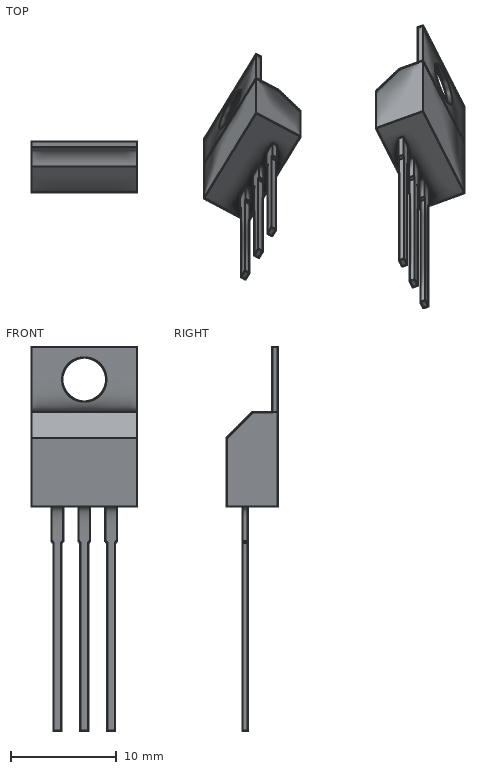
import cadquery as cq

total_height = 36.27
body_width = 9.97
body_depth = 4.82

housing_bottom = 21.18
housing_top = 30.1
chamfer_size = 2.43

tab_thickness = 0.55
hole_diameter = 4.15
hole_center_drop = 3.1

lead_count = 3
lead_pitch = 2.55
lead_thickness = 0.5
lead_back_offset = 2.83
shoulder_width = 1.12
tip_width = 0.75
shoulder_length = 3.23
taper_length = 0.2


def make_housing():
    """Rectangular block with its upper front edge bevelled."""
    height = housing_top - housing_bottom
    block = cq.Workplane("XY").box(body_width, body_depth, height, centered=(True, False, False))
    return (
        block.translate((0, -body_depth, housing_bottom))
        .edges("<Y and >Z")
        .chamfer(chamfer_size)
    )


def make_tab():
    """Plate standing on the housing, flush with its back face, with a screw hole."""
    height = total_height - housing_top
    plate = cq.Workplane("XY").box(body_width, tab_thickness, height, centered=(True, False, False))
    hole = (
        cq.Workplane("XZ")
        .center(0, total_height - hole_center_drop)
        .circle(hole_diameter / 2)
        .extrude(tab_thickness)
    )
    return plate.translate((0, -tab_thickness, housing_top)).cut(hole)


def make_lead(center_x):
    """Flat lead with a wide shoulder that tapers to a narrow tip."""
    taper_top = housing_bottom - shoulder_length
    taper_bottom = taper_top - taper_length
    half_shoulder = shoulder_width / 2
    half_tip = tip_width / 2
    outline = [
        (-half_shoulder, housing_bottom),
        (half_shoulder, housing_bottom),
        (half_shoulder, taper_top),
        (half_tip, taper_bottom),
        (half_tip, 0),
        (-half_tip, 0),
        (-half_tip, taper_bottom),
        (-half_shoulder, taper_top),
    ]
    lead = cq.Workplane("XZ").polyline(outline).close().extrude(lead_thickness)
    return lead.translate((center_x, -lead_back_offset, 0))


housing = make_housing()
tab = make_tab()
leads = []
for index in range(lead_count):
    center_x = (index - (lead_count - 1) / 2) * lead_pitch
    leads.append(make_lead(center_x))

result = cq.Compound.makeCompound([housing.val(), tab.val(), *[lead.val() for lead in leads]])